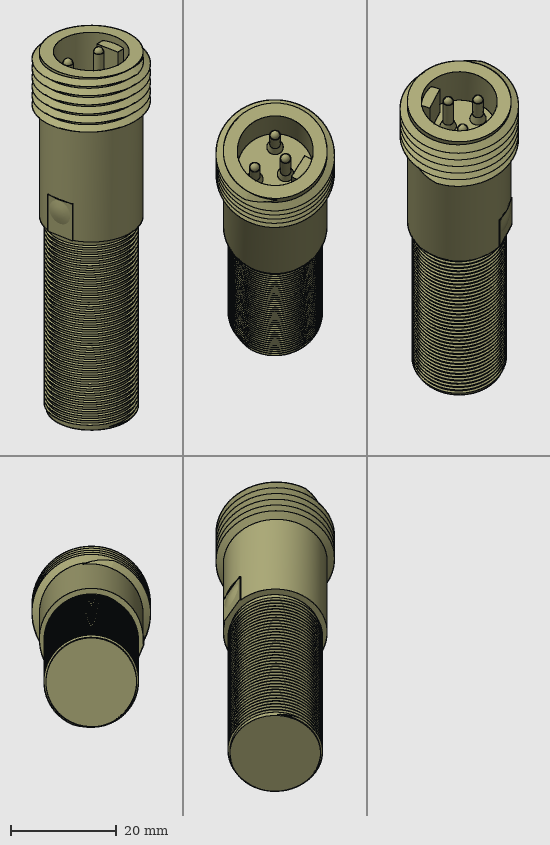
import cadquery as cq
import math

total_height = 78.0
body_bottom = 41.95
body_radius = 9.8
barrel_radius = 8.6

flank_angle = 30.0
fine_pitch = 39.9 / 40
coarse_pitch = 2 * fine_pitch
fine_crest_radius = 9.0
coarse_crest_radius = 11.2
fine_turns = 40.5
coarse_turns = 5.5
fine_start = 0.5
coarse_end = 77.1
overlap = 0.1
fade_angle = 32.0
fade_steps = 4
fade_tip_scale = 0.1

socket_radius = 7.2
socket_depth = 8.6
socket_floor = total_height - socket_depth
key_width = 5.0
key_inner_y = 5.0
key_top = total_height - 1.55

pin_radius = 1.0
pin_tip_radius = 0.9
pin_base_radius = 1.55
pin_base_height = 1.55
long_pin_top = total_height - 0.15
short_pin_top = long_pin_top - 1.8
pins = [(0, 2.3, long_pin_top), (-3.8, -2.3, short_pin_top), (3.8, -2.3, short_pin_top)]

flat_width = 6.0
flat_height = 8.0
pad_thickness = 0.8
flat_y = -9.6
lamp_radius = 2.5
lamp_bulge = 0.4
lamp_height = body_bottom + 5.15


def ridge_profile(root_radius, crest_radius, angle, height, scale=1.0):
    """Triangular ridge section in the radial plane at the given angle."""
    inner = root_radius - overlap
    depth = (crest_radius - inner) * scale
    half_base = depth * math.tan(math.radians(flank_angle))
    plane = cq.Plane(
        origin=(0, 0, height),
        xDir=(math.cos(angle), math.sin(angle), 0),
        normal=(math.sin(angle), -math.cos(angle), 0),
    )
    outline = [(inner, -half_base), (inner + depth, 0), (inner, half_base)]
    return cq.Workplane(plane).polyline(outline).close().val()


def run_out(root_radius, crest_radius, pitch, angle, height, direction):
    """Ridge shrinking into the core beyond a thread end; direction is +1 up, -1 down."""
    sections = []
    for step in range(fade_steps + 1):
        fraction = step / fade_steps
        turned = direction * math.radians(fade_angle) * fraction
        rise = pitch * turned / (2 * math.pi)
        scale = 1 - (1 - fade_tip_scale) * fraction
        sections.append(
            ridge_profile(root_radius, crest_radius, angle + turned, height + rise, scale)
        )
    return cq.Solid.makeLoft(sections, True)


def add_thread(core, root_radius, crest_radius, pitch, turns, start_height, start_angle):
    """Fuse a helical ridge and its two run-outs onto the core."""
    length = pitch * turns
    end_height = start_height + length
    end_angle = start_angle + 2 * math.pi * turns
    helix = cq.Wire.makeHelix(pitch, length, root_radius)
    helix = helix.rotate(cq.Vector(), cq.Vector(0, 0, 1), math.degrees(start_angle))
    helix = helix.translate(cq.Vector(0, 0, start_height))
    section = ridge_profile(root_radius, crest_radius, start_angle, start_height)
    ridge = cq.Solid.sweep(section, [], helix, True, True)
    lower = run_out(root_radius, crest_radius, pitch, start_angle, start_height, -1)
    upper = run_out(root_radius, crest_radius, pitch, end_angle, end_height, 1)
    return core.union(cq.Workplane(ridge)).union(cq.Workplane(lower)).union(cq.Workplane(upper))


def cylinder(radius, bottom, top):
    return cq.Workplane().workplane(offset=bottom).circle(radius).extrude(top - bottom)


def make_pin(tip_height):
    """Contact pin with a flared foot and a domed tip, standing on the socket floor."""
    foot_top = socket_floor + pin_base_height
    dome_base = tip_height - pin_tip_radius
    diagonal = pin_tip_radius * math.sqrt(0.5)
    return (
        cq.Workplane("XZ")
        .moveTo(0, socket_floor - overlap)
        .lineTo(pin_base_radius, socket_floor - overlap)
        .lineTo(pin_base_radius, socket_floor)
        .lineTo(pin_radius, foot_top)
        .lineTo(pin_radius, dome_base)
        .lineTo(pin_tip_radius, dome_base)
        .threePointArc((diagonal, dome_base + diagonal), (0, tip_height))
        .close()
        .revolve(360, (0, 0), (0, 1))
    )


def make_key():
    """Polarising key along the +Y wall of the socket."""
    block = (
        cq.Workplane()
        .workplane(offset=socket_floor - overlap)
        .center(0, (key_inner_y + body_radius) / 2)
        .rect(key_width, body_radius - key_inner_y)
        .extrude(key_top - socket_floor + overlap)
    )
    return block.intersect(cylinder(socket_radius + overlap, socket_floor - overlap, total_height))


def make_lamp():
    """Shallow domed lamp standing on the flat, turned about an axis along Y."""
    sphere_radius = (lamp_radius**2 + lamp_bulge**2) / (2 * lamp_bulge)
    center_y = flat_y - lamp_bulge + sphere_radius
    half_angle = math.asin(lamp_radius / sphere_radius) / 2
    middle_x = sphere_radius * math.sin(half_angle)
    middle_y = center_y - sphere_radius * math.cos(half_angle)
    return (
        cq.Workplane("XY", origin=(0, 0, lamp_height))
        .moveTo(0, flat_y + overlap)
        .lineTo(lamp_radius, flat_y + overlap)
        .lineTo(lamp_radius, flat_y)
        .threePointArc((middle_x, middle_y), (0, flat_y - lamp_bulge))
        .close()
        .revolve(360, (0, 0), (0, 1))
    )


barrel = cylinder(barrel_radius, 0, body_bottom)
barrel = add_thread(
    barrel, barrel_radius, fine_crest_radius, fine_pitch, fine_turns, fine_start, 0
)

coarse_start = coarse_end - coarse_pitch * coarse_turns
body = cylinder(body_radius, body_bottom, total_height)
body = add_thread(
    body, body_radius, coarse_crest_radius, coarse_pitch, coarse_turns, coarse_start, math.pi
)

pad_plane = cq.Workplane("XZ", origin=(0, flat_y, body_bottom + flat_height / 2))
crown = pad_plane.rect(flat_width, flat_height).extrude(body_radius)
pad = pad_plane.rect(flat_width, flat_height).extrude(-pad_thickness)
body = body.cut(crown).union(pad).union(make_lamp())

body = body.cut(cylinder(socket_radius, socket_floor, total_height)).union(make_key())
for x, y, tip_height in pins:
    body = body.union(make_pin(tip_height).translate((x, y, 0)))

result = cq.Workplane(body.union(barrel).val())